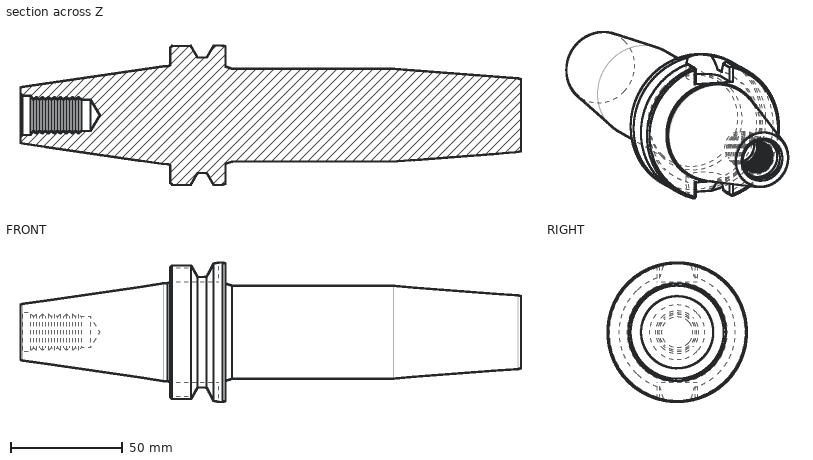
import cadquery as cq
import math


total_length = 225.5
taper_end_x = 64.5
collar_end_x = 66.3
flange_front_x = 67.5
flange_back_x = 92.5
neck_end_x = 95.3
nose_start_x = 168.0

taper_ratio = 7 / 24
taper_radius = 22.0
tail_chamfer_length = 1.0
tail_face_radius = 12.5

flange_radius = 31.45
flange_front_chamfer = 1.0
flange_back_chamfer_length = 1.4
flange_back_chamfer_depth = 0.5
flange_root_radius = 22.5
groove_radius = 26.1
groove_floor_start_x = 79.8
groove_floor_end_x = 83.8
groove_side_angle = 30.0

neck_radius = 21.98
body_radius = 21.0
nose_radius = 16.7
nose_chamfer_length = 1.4
nose_chamfer_depth = 0.5

slot_width = 16.0
slot_end_x = 89.3
slot_floor = 22.5
slot_edge_chamfer = 1.1

mouth_radius = 9.7
mouth_chamfer = 1.0
counterbore_depth = 4.5
thread_minor_radius = 7.0
thread_depth = 1.1
thread_pitch = 2.7
thread_count = 8
thread_lead_in = 1.4
bore_depth = 31.5
drill_point_angle = 118.0


def turned(outline):
    """Revolve a half profile of (x, radius) points about the X axis."""
    return cq.Workplane("XY").polyline(outline).close().revolve(360, (0, 0, 0), (1, 0, 0))


def make_body():
    tail_radius = taper_radius - (taper_end_x - tail_chamfer_length) * taper_ratio / 2
    groove_side_length = (flange_radius - groove_radius) * math.tan(math.radians(groove_side_angle))
    return turned([
        (0, 0),
        (0, tail_face_radius),
        (tail_chamfer_length, tail_radius),
        (taper_end_x, taper_radius),
        (collar_end_x, taper_radius),
        (flange_front_x, flange_root_radius),
        (flange_front_x, flange_radius - flange_front_chamfer),
        (flange_front_x + flange_front_chamfer, flange_radius),
        (groove_floor_start_x - groove_side_length, flange_radius),
        (groove_floor_start_x, groove_radius),
        (groove_floor_end_x, groove_radius),
        (groove_floor_end_x + groove_side_length, flange_radius),
        (flange_back_x - flange_back_chamfer_length, flange_radius),
        (flange_back_x, flange_radius - flange_back_chamfer_depth),
        (flange_back_x, neck_radius),
        (neck_end_x, body_radius),
        (nose_start_x, body_radius),
        (total_length - nose_chamfer_length, nose_radius),
        (total_length, nose_radius - nose_chamfer_depth),
        (total_length, 0),
    ])


def make_slot():
    """Round-ended drive slot on the +Z side, with bevelled front and outer edges."""
    half_width = slot_width / 2
    cut_height = flange_radius - slot_floor
    arc_start_x = slot_end_x - half_width
    channel = (
        cq.Workplane("XY", origin=(0, 0, slot_floor))
        .moveTo(flange_front_x, -half_width)
        .lineTo(arc_start_x, -half_width)
        .threePointArc((slot_end_x, 0), (arc_start_x, half_width))
        .lineTo(flange_front_x, half_width)
        .close()
        .extrude(cut_height)
    )
    wide_half = half_width + slot_edge_chamfer
    front_bevel = (
        cq.Workplane("XY", origin=(0, 0, slot_floor))
        .polyline([
            (flange_front_x, -wide_half),
            (flange_front_x + slot_edge_chamfer, -half_width),
            (flange_front_x + slot_edge_chamfer, half_width),
            (flange_front_x, wide_half),
        ])
        .close()
        .extrude(cut_height)
    )
    rim_z = math.sqrt(flange_radius**2 - wide_half**2)
    outer_bevel = (
        cq.Workplane("YZ", origin=(flange_front_x, 0, 0))
        .polyline([
            (-half_width, rim_z - slot_edge_chamfer),
            (half_width, rim_z - slot_edge_chamfer),
            (wide_half, rim_z),
            (wide_half, flange_radius),
            (-wide_half, flange_radius),
            (-wide_half, rim_z),
        ])
        .close()
        .extrude(groove_floor_start_x - flange_front_x)
    )
    return channel.union(front_bevel).union(outer_bevel)


def make_bore():
    """Chamfered counterbore, ring-shaped thread grooves and a conical drill point."""
    counterbore_radius = mouth_radius - mouth_chamfer
    thread_start_x = counterbore_depth + thread_lead_in
    outline = [
        (0, 0),
        (0, mouth_radius),
        (mouth_chamfer, counterbore_radius),
        (counterbore_depth, counterbore_radius),
    ]
    for turn in range(thread_count):
        groove_x = thread_start_x + turn * thread_pitch
        outline += [
            (groove_x, thread_minor_radius),
            (groove_x + thread_pitch / 2, thread_minor_radius + thread_depth),
        ]
    point_length = thread_minor_radius / math.tan(math.radians(drill_point_angle / 2))
    outline += [
        (thread_start_x + thread_count * thread_pitch, thread_minor_radius),
        (bore_depth, thread_minor_radius),
        (bore_depth + point_length, 0),
    ]
    return turned(outline)


slot = make_slot()
opposite_slot = slot.rotate((0, 0, 0), (1, 0, 0), 180)
result = make_body().cut(slot).cut(opposite_slot).cut(make_bore())